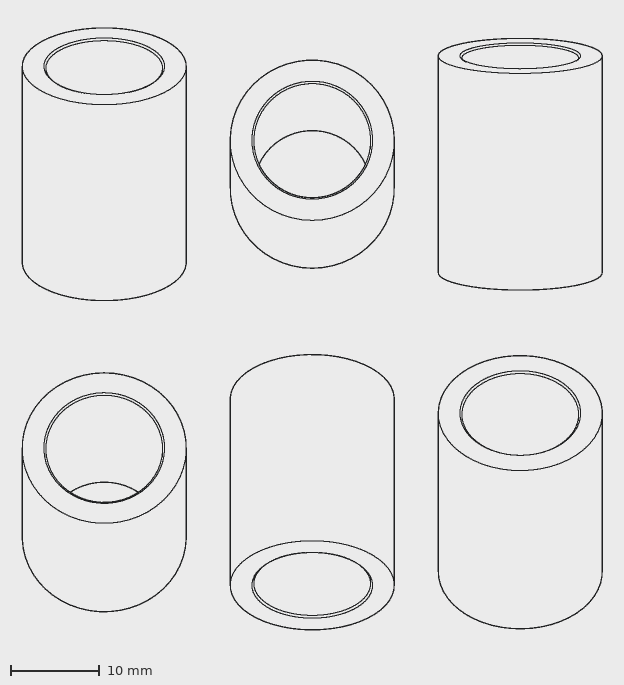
import cadquery as cq

length = 25.0
outer_diameter = 18.5
bore_diameter = 13.15
chamfer_size = 0.22

sleeve = cq.Workplane("XY").circle(outer_diameter / 2).circle(bore_diameter / 2).extrude(length)

bore_edges = cq.selectors.RadiusNthSelector(0)
result = sleeve.edges("%CIRCLE").edges(bore_edges).chamfer(chamfer_size)